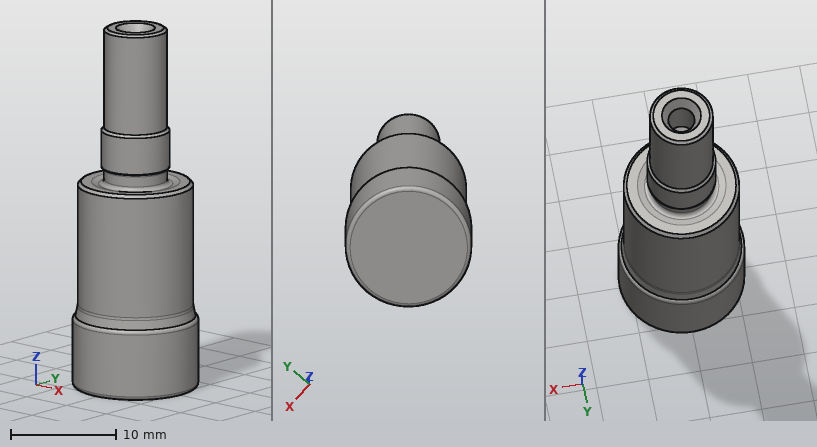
import cadquery as cq
import math

TOTAL_HEIGHT = 35.0

CAP_RADIUS = 6.0
SEAT_HEIGHT = 6.85
CAP_TOP_ROUND_HEIGHT = 0.4
CAP_BOTTOM_ROUND = 0.42

BARREL_RADIUS = 5.5
BARREL_TOP = 20.0
BARREL_CHAMFER = 0.3
SKIRT_RADIUS = 5.7
SKIRT_MEET_HEIGHT = 7.9
SKIRT_BLEND = 0.15

DISH_RADIUS = 4.2
DISH_ANGLE = math.radians(15)
DISH_ROUND = 0.42

PIN_RADIUS = 6.0 / 2
PIN_CHAMFER_HEIGHT = 0.2
PIN_CHAMFER_WIDTH = 0.3
COLLAR_RADIUS = 6.5 / 2
COLLAR_TOP = 25.27
COLLAR_TOP_CHAMFER = COLLAR_RADIUS - PIN_RADIUS
COLLAR_BOTTOM = 21.35
COLLAR_BOTTOM_CHAMFER = 0.1
COLLAR_ROUND = 0.18

HOLE_RADIUS = 2.5 / 2
HOLE_DEPTH = 4.9
COUNTERSINK_RADIUS = 1.85
COUNTERSINK_DEPTH = 0.98
DRILL_TIP_HALF_ANGLE = math.radians(59)


def revolve_profile(profile):
    """Turn a closed radius-height profile about the Z axis."""
    return profile.close().revolve(360, (0, 0, 0), (0, 1, 0))


def make_cap():
    """Round base disc; its upper edge curves in to the foot of the skirt."""
    return revolve_profile(
        cq.Workplane("XZ")
        .lineTo(CAP_RADIUS - CAP_BOTTOM_ROUND, 0)
        .tangentArcPoint((CAP_RADIUS, CAP_BOTTOM_ROUND), relative=False)
        .lineTo(CAP_RADIUS, SEAT_HEIGHT - CAP_TOP_ROUND_HEIGHT)
        .tangentArcPoint((SKIRT_RADIUS, SEAT_HEIGHT), relative=False)
        .lineTo(0, SEAT_HEIGHT)
    )


def make_center_hole():
    """Countersunk blind hole with a conical drill tip."""
    tip_depth = HOLE_DEPTH + HOLE_RADIUS / math.tan(DRILL_TIP_HALF_ANGLE)
    return revolve_profile(
        cq.Workplane("XZ")
        .moveTo(0, TOTAL_HEIGHT)
        .lineTo(COUNTERSINK_RADIUS, TOTAL_HEIGHT)
        .lineTo(HOLE_RADIUS, TOTAL_HEIGHT - COUNTERSINK_DEPTH)
        .lineTo(HOLE_RADIUS, TOTAL_HEIGHT - HOLE_DEPTH)
        .lineTo(0, TOTAL_HEIGHT - tip_depth)
    )


def make_shaft():
    """Barrel and pin turned as one piece, bored at the top."""
    skirt_angle = math.atan2(SKIRT_RADIUS - BARREL_RADIUS, SKIRT_MEET_HEIGHT - SEAT_HEIGHT)
    blend_start_radius = BARREL_RADIUS + SKIRT_BLEND * math.sin(skirt_angle)
    blend_start_height = SKIRT_MEET_HEIGHT - SKIRT_BLEND * math.cos(skirt_angle)

    round_center = PIN_RADIUS + DISH_ROUND
    dish_inner_radius = round_center + DISH_ROUND * math.sin(DISH_ANGLE)
    dish_inner_height = BARREL_TOP - (DISH_RADIUS - dish_inner_radius) * math.tan(DISH_ANGLE)
    round_top = dish_inner_height + DISH_ROUND * math.cos(DISH_ANGLE)

    shaft = revolve_profile(
        cq.Workplane("XZ")
        .moveTo(0, SEAT_HEIGHT)
        .lineTo(SKIRT_RADIUS, SEAT_HEIGHT)
        .lineTo(blend_start_radius, blend_start_height)
        .tangentArcPoint((BARREL_RADIUS, SKIRT_MEET_HEIGHT + SKIRT_BLEND), relative=False)
        .lineTo(BARREL_RADIUS, BARREL_TOP - BARREL_CHAMFER)
        .lineTo(BARREL_RADIUS - BARREL_CHAMFER, BARREL_TOP)
        .lineTo(DISH_RADIUS, BARREL_TOP)
        .lineTo(dish_inner_radius, dish_inner_height)
        .tangentArcPoint((PIN_RADIUS, round_top), relative=False)
        .lineTo(PIN_RADIUS, COLLAR_BOTTOM - COLLAR_ROUND)
        .tangentArcPoint((PIN_RADIUS + COLLAR_ROUND, COLLAR_BOTTOM), relative=False)
        .lineTo(COLLAR_RADIUS - COLLAR_BOTTOM_CHAMFER, COLLAR_BOTTOM)
        .lineTo(COLLAR_RADIUS, COLLAR_BOTTOM + COLLAR_BOTTOM_CHAMFER)
        .lineTo(COLLAR_RADIUS, COLLAR_TOP - COLLAR_TOP_CHAMFER)
        .lineTo(PIN_RADIUS, COLLAR_TOP)
        .lineTo(PIN_RADIUS, TOTAL_HEIGHT - PIN_CHAMFER_HEIGHT)
        .lineTo(PIN_RADIUS - PIN_CHAMFER_WIDTH, TOTAL_HEIGHT)
        .lineTo(0, TOTAL_HEIGHT)
    )
    return shaft.cut(make_center_hole())


cap = make_cap()
shaft = make_shaft()

result = cq.Compound.makeCompound([cap.val(), shaft.val()])